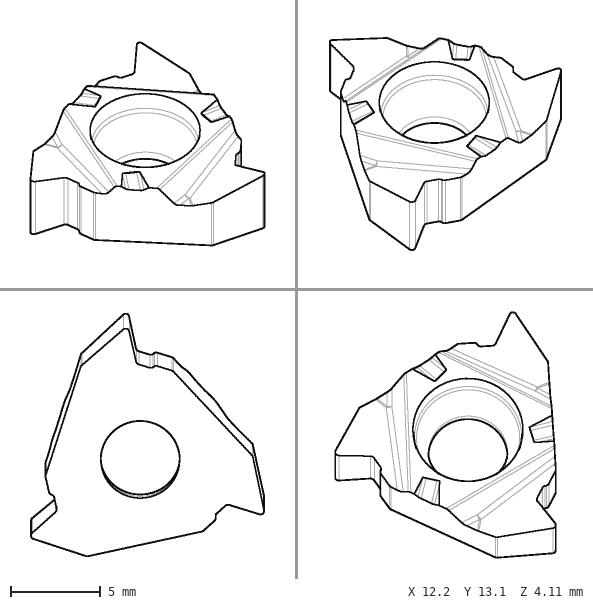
import cadquery as cq
import math

thickness = 4.11
inscribed_radius = 4.7625
tooth_count = 3
tooth_pitch_angle = 360 / tooth_count

tip_center_x = -2.965
tip_center_y = -6.70
tip_radius = 0.2
leading_flank_angle = 59.0
trailing_flank_angle = 60.0
root_y = -5.16
root_radius = 0.23
step_start_x = -0.97
step_end_x = -0.80
land_y = -5.38
corner_radius = 0.2

hole_radius = 2.2
straight_hole_height = 0.53
seat_radius = 4.35
seat_angle = 32.5
counterbore_top_radius = 3.07
counterbore_bottom_radius = 2.99
counterbore_depth = 1.0

tip_height = 3.965
rake_angle = 15.0
wall_distance = 3.42
wall_direction = 31.8
wall_slope = 55.5
floor_height = 2.91
floor_slope = 4.6
groove_radius = 0.3
wall_edge_radius = 0.18

notch_inner_x = -3.54
notch_inner_y = 0.54
notch_inner_depth = 0.04
notch_outer_depth = 0.22
notch_direction = 13.0
notch_floor_width = 0.83
notch_side_slope = 33.0
notch_floor_radius = 0.35

tool_size = 30.0


def sin(angle):
    return math.sin(math.radians(angle))


def cos(angle):
    return math.cos(math.radians(angle))


def tan(angle):
    return math.tan(math.radians(angle))


def turn(point, angle):
    """Rotate an XY point about the insert axis."""
    x, y = point
    return (x * cos(angle) - y * sin(angle), x * sin(angle) + y * cos(angle))


def around_axis(shape):
    """One copy of the shape for each tooth."""
    return [shape.rotate((0, 0, 0), (0, 0, 1), i * tooth_pitch_angle) for i in range(tooth_count)]


def tooth_corners():
    """Corner points and rounding radii of one tooth, counterclockwise, before rounding."""
    lead_x = tip_center_x - tip_radius * sin(leading_flank_angle)
    lead_y = tip_center_y - tip_radius * cos(leading_flank_angle)
    trail_x = tip_center_x + tip_radius * sin(trailing_flank_angle)
    trail_y = tip_center_y - tip_radius * cos(trailing_flank_angle)
    lead_slope = tan(leading_flank_angle)
    trail_slope = tan(trailing_flank_angle)

    shoulder_y = lead_y + (lead_x + inscribed_radius) * lead_slope
    apex_x = (trail_slope * trail_x + lead_slope * lead_x + lead_y - trail_y) / (trail_slope + lead_slope)
    apex_y = lead_y - (apex_x - lead_x) * lead_slope
    root_x = trail_x + (root_y - trail_y) / trail_slope
    land_end_x = (inscribed_radius + land_y * sin(tooth_pitch_angle)) / -cos(tooth_pitch_angle)
    return [
        ((-inscribed_radius, shoulder_y), corner_radius),
        ((apex_x, apex_y), tip_radius),
        ((root_x, root_y), root_radius),
        ((step_start_x, root_y), corner_radius),
        ((step_end_x, land_y), corner_radius),
        ((land_end_x, land_y), corner_radius),
    ]


def make_body():
    outline = []
    roundings = []
    for i in range(tooth_count):
        for point, radius in tooth_corners():
            turned = turn(point, i * tooth_pitch_angle)
            outline.append(turned)
            roundings.append((turned, radius))
    body = cq.Workplane("XY").polyline(outline).close().extrude(thickness)
    for (x, y), radius in roundings:
        edge = cq.selectors.NearestToPointSelector((x, y, thickness / 2))
        body = body.edges("|Z").edges(edge).fillet(radius)
    return body


def make_screw_hole():
    """Through hole with a curved seat below a slightly tapered counterbore."""
    def seat_point(angle):
        radius = hole_radius + seat_radius * (1 - cos(angle))
        return (radius, straight_hole_height + seat_radius * sin(angle))

    return (
        cq.Workplane("XZ")
        .lineTo(hole_radius, 0)
        .lineTo(hole_radius, straight_hole_height)
        .threePointArc(seat_point(seat_angle / 2), seat_point(seat_angle))
        .tangentArcPoint((counterbore_bottom_radius, thickness - counterbore_depth), relative=False)
        .lineTo(counterbore_top_radius, thickness)
        .lineTo(0, thickness)
        .close()
        .revolve(360, (0, 0), (0, 1))
    )


def half_space(point, normal):
    """Large block on the normal's side of a plane."""
    plane = cq.Plane(origin=point, normal=normal.toTuple())
    return cq.Workplane(plane).rect(tool_size, tool_size).extrude(tool_size)


def wall_plane():
    """A point on the groove wall's top edge and the wall normal."""
    outward = cq.Vector(-sin(wall_direction), -cos(wall_direction), 0)
    point = outward * wall_distance + cq.Vector(0, 0, thickness)
    normal = outward * sin(wall_slope) + cq.Vector(0, 0, cos(wall_slope))
    return point, normal


def make_chip_groove():
    """Space above the rake face and the inclined floor, outside the groove wall."""
    wall_point, wall_normal = wall_plane()
    rake_point = cq.Vector(tip_center_x, tip_center_y - tip_radius, tip_height)
    rake_normal = cq.Vector(0, sin(rake_angle), cos(rake_angle))
    floor_point = cq.Vector(-inscribed_radius, 0, floor_height)
    floor_normal = cq.Vector(sin(floor_slope), 0, cos(floor_slope))

    groove = half_space(wall_point, wall_normal)
    groove = groove.intersect(half_space(rake_point, rake_normal))
    groove = groove.intersect(half_space(floor_point, floor_normal))

    creases = [
        wall_normal.cross(rake_normal),
        wall_normal.cross(floor_normal),
        rake_normal.cross(floor_normal),
    ]
    edges = groove.edges(cq.selectors.ParallelDirSelector(creases[0]))
    for crease in creases[1:]:
        edges = edges.add(groove.edges(cq.selectors.ParallelDirSelector(crease)))
    return groove.newObject(edges.vals()).fillet(groove_radius)


def make_notch():
    """Sloping channel with flared sides that deepens towards the -X face."""
    run = (inscribed_radius + notch_inner_x) / cos(notch_direction)
    slope = math.degrees(math.atan((notch_outer_depth - notch_inner_depth) / run))
    flare_height = 2 * notch_outer_depth
    half_floor = notch_floor_width / 2
    half_top = half_floor + flare_height / tan(notch_side_slope)
    channel = (
        cq.Workplane("YZ")
        .polyline([
            (-half_floor, 0),
            (half_floor, 0),
            (half_top, flare_height),
            (-half_top, flare_height),
        ])
        .close()
        .extrude(-2 * run)
        .faces("<Z")
        .edges("|X")
        .fillet(notch_floor_radius)
    )
    return (
        channel
        .rotate((0, 0, 0), (0, 1, 0), -slope)
        .rotate((0, 0, 0), (0, 0, 1), notch_direction)
        .translate((notch_inner_x, notch_inner_y, thickness - notch_inner_depth))
    )


def round_wall_edges(body):
    """Round the top edge of each groove wall."""
    wall_point, _ = wall_plane()
    for i in range(tooth_count):
        x, y = turn((wall_point.x, wall_point.y), i * tooth_pitch_angle)
        along = turn((cos(wall_direction), -sin(wall_direction)), i * tooth_pitch_angle)
        body = (
            body.faces(">Z")
            .edges(cq.selectors.ParallelDirSelector(cq.Vector(*along, 0)))
            .edges(cq.selectors.NearestToPointSelector((x, y, thickness)))
            .fillet(wall_edge_radius)
        )
    return body


result = make_body()
for groove in around_axis(make_chip_groove()):
    result = result.cut(groove)
result = round_wall_edges(result)
for notch in around_axis(make_notch()):
    result = result.cut(notch)
result = result.cut(make_screw_hole())